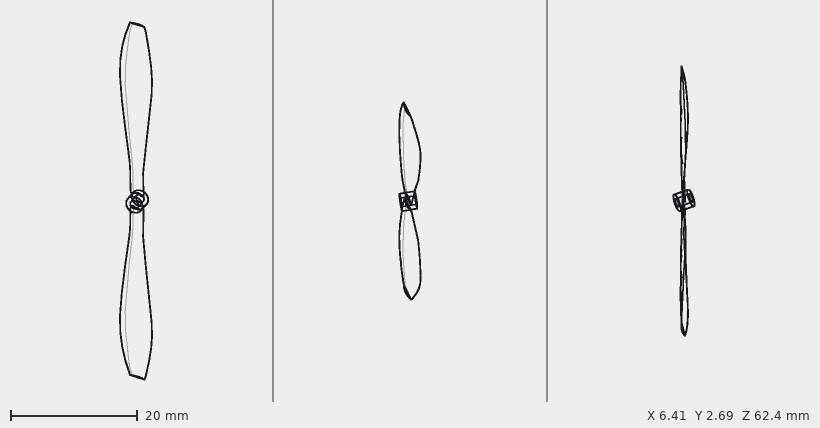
import cadquery as cq

span = 62.35
hub_diameter = 2.8
hub_length = 2.45
bore_diameter = 1.4
root_height = 1.1

blade_sections = [
    (root_height, (-1.25, 0.4), (0.0, 0.25), (1.2, -0.25), (-0.6, 0.1)),
    (3.75, (-1.45, 0.6), (0.0, 0.4), (1.25, -0.55), (-0.9, 0.3)),
    (8.7, (-1.95, 0.9), (0.0, 0.5), (1.75, -1.1), (-1.3, 0.5)),
    (13.1, (-2.55, 0.95), (0.0, 0.55), (2.3, -1.4), (-1.75, 0.5)),
    (17.45, (-3.05, 0.95), (0.0, 0.55), (2.8, -1.45), (-2.1, 0.5)),
    (21.2, (-3.3, 0.9), (0.0, 0.55), (3.1, -1.45), (-2.3, 0.5)),
    (24.95, (-3.1, 0.75), (0.0, 0.55), (2.85, -1.2), (-2.05, 0.45)),
    (28.05, (-2.5, 0.6), (0.0, 0.5), (2.25, -0.75), (-1.7, 0.4)),
    (span / 2, (-1.45, 0.5), (0.0, 0.45), (1.3, -0.2), (-0.9, 0.3)),
]


def section_wire(height, leading, crown, trailing, crease):
    """Closed airfoil outline: arched back, flat face and leading-edge bevel."""
    outline = cq.Workplane("XY", origin=(0, 0, height)).moveTo(*leading)
    outline = outline.threePointArc(crown, trailing).lineTo(*crease).close()
    return outline.val()


def make_blade():
    wires = [section_wire(*section) for section in blade_sections]
    return cq.Workplane(obj=cq.Solid.makeLoft(wires))


def y_cylinder(diameter):
    """Cylinder along Y, as long as the hub and centred on the origin."""
    return cq.Workplane("XZ").circle(diameter / 2).extrude(hub_length / 2, both=True)


upper_blade = make_blade()
lower_blade = upper_blade.mirror("XY")
hub = y_cylinder(hub_diameter)
bore = y_cylinder(bore_diameter)

result = hub.union(upper_blade).union(lower_blade).cut(bore)